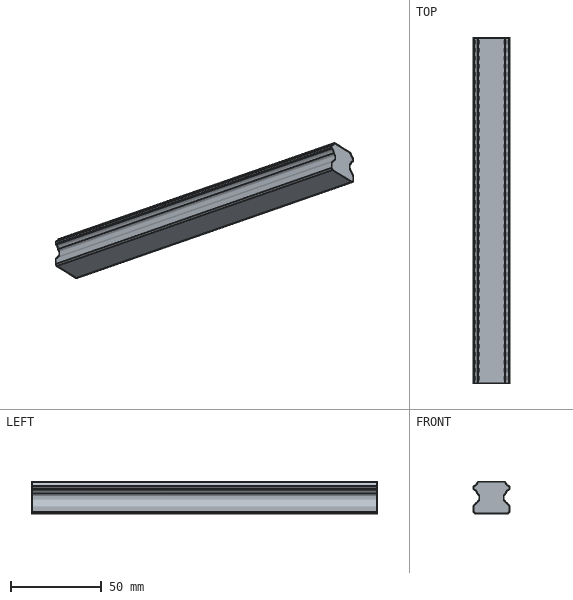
import cadquery as cq
import math

length = 190.0
width = 20.0
height = 17.5
half_width = width / 2

foot_top = 4.2
waist_top = 9.9
head_bottom = 13.5
head_top = 14.8

waist_depth = 3.2
waist_half_width = half_width - waist_depth
waist_bottom = foot_top + waist_depth
top_half_width = half_width - (height - head_top)

bottom_chamfer = 1.0
corner_radius = 1.0

groove_depth = 0.4
edge_land = 0.4
waist_land = 1.1


def add_grooved_flank(path, start, end, start_land, end_land):
    """Run the path up from start to end, with a ball groove sunk between two lands."""
    step_x = math.copysign(1, end[0] - start[0])
    groove_start = (start[0] + step_x * start_land, start[1] + start_land)
    groove_end = (end[0] - step_x * end_land, end[1] - end_land)
    chord_x = groove_end[0] - groove_start[0]
    chord_z = groove_end[1] - groove_start[1]
    chord = math.hypot(chord_x, chord_z)
    groove_middle = (
        (groove_start[0] + groove_end[0]) / 2 - groove_depth * chord_z / chord,
        (groove_start[1] + groove_end[1]) / 2 + groove_depth * chord_x / chord,
    )
    return path.lineTo(*groove_start).threePointArc(groove_middle, groove_end).lineTo(*end)


def half_rail():
    """Build the +X half of the rail, standing on the XY plane."""
    foot_corner = (half_width, foot_top)
    waist_lower_corner = (waist_half_width, waist_bottom)
    waist_upper_corner = (waist_half_width, waist_top)
    head_lower_corner = (half_width, head_bottom)
    head_upper_corner = (half_width, head_top)
    top_corner = (top_half_width, height)

    path = (
        cq.Workplane("XZ")
        .lineTo(half_width - bottom_chamfer, 0)
        .lineTo(half_width, bottom_chamfer)
        .lineTo(*foot_corner)
        .lineTo(*waist_lower_corner)
        .lineTo(*waist_upper_corner)
    )
    path = add_grooved_flank(path, waist_upper_corner, head_lower_corner, waist_land, edge_land)
    path = path.lineTo(*head_upper_corner)
    path = add_grooved_flank(path, head_upper_corner, top_corner, edge_land, edge_land)
    half = path.lineTo(0, height).close().extrude(length / 2, both=True)

    for x, z in (foot_corner, waist_lower_corner, waist_upper_corner):
        corner_edge = cq.selectors.NearestToPointSelector((x, 0, z))
        half = half.edges(corner_edge).fillet(corner_radius)
    return half


right_half = half_rail()
rail = right_half.union(right_half.mirror("YZ")).clean()
result = rail.translate((0, 0, -height / 2))